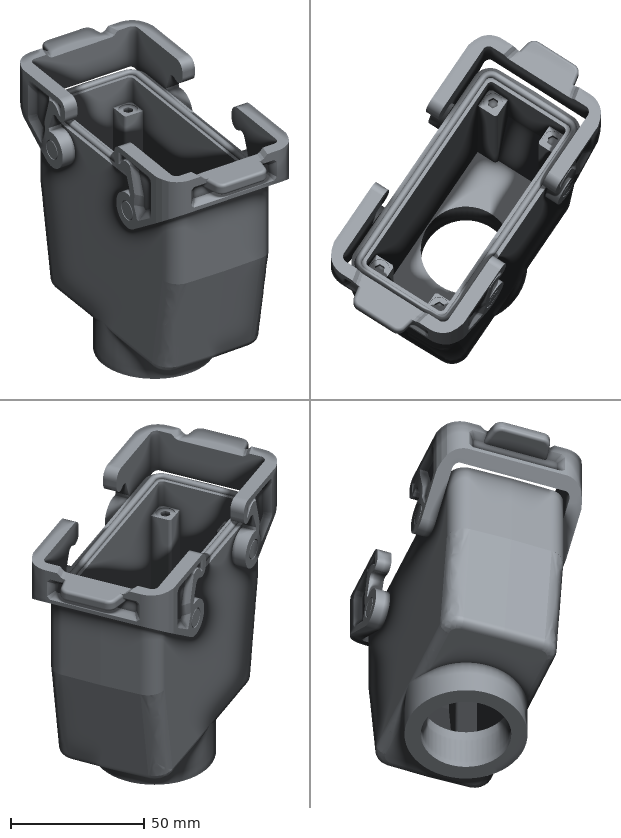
import cadquery as cq
import math

BODY_HALF_X = 48.4
BODY_CROWN = 0.5
BODY_HALF_Y = 23.1
BODY_BOTTOM_Z = 14.9
BODY_KNEE_Z = 58.2
BODY_TOP_Z = 91.0
BODY_TAPER = math.tan(math.radians(10))
BODY_CORNER_R = 7.0
BODY_BOTTOM_R = 3.6
BODY_BOTTOM_HALF_X = BODY_HALF_X - (BODY_KNEE_Z - BODY_BOTTOM_Z) * BODY_TAPER

CAVITY_HALF_X = 42.8
CAVITY_HALF_Y = 17.4
CAVITY_CORNER_R = 1.7
FLOOR_THICKNESS = 3.7
FLOOR_Z = BODY_BOTTOM_Z + FLOOR_THICKNESS
FLOOR_HALF_X = CAVITY_HALF_X - (BODY_KNEE_Z - FLOOR_Z) * BODY_TAPER
BEAD_WIDTH = 2.7
BEAD_INSET = 1.4
BEAD_HEIGHT = 1.4
BEAD_CORNER_R = 5.0
BEAD_TOP_R = 1.18

POST_SIZE = 8.0
POST_TOP_Z = 80.0
POST_OVERLAP = 2.5
POST_DRAFT = 0.3
POST_CORNER_R = 1.1
SCREW_R = 3.7
SCREW_RECESS = 0.4
SOCKET_DIAMETER = 4.1
SOCKET_DEPTH = 2.5
SOCKET_TURN = 30

NOZZLE_R = BODY_HALF_Y
NOZZLE_BORE_R = 17.0

LEVER_TOP_Z = 107.9
LEVER_END_X = 54.8
LEVER_END_WALL = 4.8
LEVER_HALF_Y = 29.0
LEVER_INNER_HALF_Y = 23.4
LEVER_OUTER_R = 9.2
LEVER_CORNER_FLATS = ((8.9, 0), (6.1, 0.9), (3.6, 2.1))
LEVER_INNER_R = 2.5
LEVER_END_BOTTOM_Z = 93.6
PIVOT_X = 25.9
PIVOT_Z = 82.8
PIVOT_EYE_R = 7.5
PIN_R = 4.0
PIN_GROOVE_WIDTH = 0.4
PIN_GROOVE_DEPTH = 0.6
HOOK_TIP_X = 17.0
HOOK_BOTTOM_Z = 98.0
HOOK_TOP_R = 4.0
HOOK_BOTTOM_R = 3.5
THROAT_FRONT = (22.2, 98.6)
THROAT_CROWN = (23.9, 99.1)
THROAT_BACK = (25.5, 98.0)
THROAT_FOOT = (28.1, 91.3)

TAB_TIP_X = 62.0
TAB_TOP_Z = 105.9
TAB_THICKNESS = 4.6
TAB_ROOT_HALF_Y = 13.3
TAB_TIP_HALF_Y = 10.8
TAB_CORNER_R = 3.5
TAB_EDGE_R = 1.2
NOTCH_OUTER_HALF_Y = 12.3
NOTCH_INNER_HALF_Y = 13.4
NOTCH_FLARE = 2.6
NOTCH_TOE_RUN = 1.1
NOTCH_TOE_RISE = 0.5

SIDE_POCKET_DEPTH = 2.2
SIDE_POCKET_CORNER_R = 4.3
ARM_POCKET_DEPTH = 1.1
MAIN_RIM = [
    (42.4, 105.4), (27.8, 105.4), (27.8, 103.7), (31.0, 92.5),
    (30.5, 87.5), (32.7, 82.2), (33.6, 82.2), (42.4, 88.0),
]
MAIN_FLOOR = [
    (39.2, 102.2), (30.5, 102.2), (30.9, 101.2), (34.1, 92.5),
    (34.1, 87.9), (35.0, 87.2), (35.5, 87.2), (39.2, 89.9),
]
ARM_RIM = [
    (27.9, 105.4), (19.8, 105.4), (19.8, 100.3), (20.7, 100.5),
    (22.1, 102.2), (23.5, 103.5), (25.4, 104.2), (27.9, 103.5),
]
ARM_FLOOR = [
    (27.9, 104.9), (21.1, 104.4), (20.7, 102.7), (21.3, 102.5),
    (22.5, 103.5), (23.8, 104.3), (25.4, 104.7), (27.9, 104.4),
]
END_POCKET_DEPTH = 2.4
END_POCKET_HALF_Y = 19.1
END_POCKET_TOP_Z = 104.3
END_POCKET_BOTTOM_Z = 95.2
END_POCKET_BEVEL = 1.2


def both_ends(solid):
    """Add the mirror image across the YZ plane."""
    return solid.union(solid.mirror("YZ"))


def both_sides(solid):
    """Add the mirror image across the XZ plane."""
    return solid.union(solid.mirror("XZ"))


def rounded_block(half_x, half_y, bottom_z, top_z, radius):
    block = cq.Workplane("XY", origin=(0, 0, bottom_z)).rect(2 * half_x, 2 * half_y)
    return block.extrude(top_z - bottom_z).edges("|Z").fillet(radius)


def drafted_pocket(plane, rim, floor, depth):
    """Pocket tool between a rim outline on the plane and a floor outline below it."""
    tool = cq.Workplane(plane).polyline(rim).close()
    return tool.workplane(offset=-depth).polyline(floor).close().loft(ruled=True)


def body_half_section(half_x):
    """The -Y half of the section, whose end faces fall back from a ridge at Y = 0."""
    corner_x = half_x - BODY_CROWN
    return [(half_x, 0), (corner_x, -BODY_HALF_Y), (-corner_x, -BODY_HALF_Y), (-half_x, 0)]


def body_half_stage(bottom_half_x, bottom_z, top_half_x, top_z):
    """One stage of the -Y half of the outer body with its two upright corners rounded."""
    stage = (
        cq.Workplane("XY", origin=(0, 0, bottom_z))
        .polyline(body_half_section(bottom_half_x)).close()
        .workplane(offset=top_z - bottom_z)
        .polyline(body_half_section(top_half_x)).close()
        .loft(ruled=True)
    )
    upright_corners = stage.faces("<Y").edges("not |X")
    return upright_corners.fillet(BODY_CORNER_R)


def make_body():
    lower = body_half_stage(BODY_BOTTOM_HALF_X, BODY_BOTTOM_Z, BODY_HALF_X, BODY_KNEE_Z)
    lower = lower.faces("<Z").edges("not >Y").fillet(BODY_BOTTOM_R)
    upper = body_half_stage(BODY_HALF_X, BODY_KNEE_Z, BODY_HALF_X, BODY_TOP_Z)
    nozzle = cq.Workplane("XY").circle(NOZZLE_R).extrude(BODY_BOTTOM_Z + BODY_BOTTOM_R)
    return both_sides(lower.union(upper)).union(nozzle)


def make_cavity():
    profile = [
        (-FLOOR_HALF_X, FLOOR_Z),
        (FLOOR_HALF_X, FLOOR_Z),
        (CAVITY_HALF_X, BODY_KNEE_Z),
        (CAVITY_HALF_X, LEVER_TOP_Z),
        (-CAVITY_HALF_X, LEVER_TOP_Z),
        (-CAVITY_HALF_X, BODY_KNEE_Z),
    ]
    cavity = cq.Workplane("XZ").polyline(profile).close().extrude(CAVITY_HALF_Y, both=True)
    return cavity.intersect(
        rounded_block(CAVITY_HALF_X, CAVITY_HALF_Y, FLOOR_Z, LEVER_TOP_Z, CAVITY_CORNER_R)
    )


def make_bead():
    inner_x = CAVITY_HALF_X + BEAD_INSET
    inner_y = CAVITY_HALF_Y + BEAD_INSET
    top_z = BODY_TOP_Z + BEAD_HEIGHT
    inner_r = BEAD_CORNER_R - BEAD_WIDTH
    loop = rounded_block(inner_x + BEAD_WIDTH, inner_y + BEAD_WIDTH, BODY_TOP_Z, top_z, BEAD_CORNER_R)
    loop = loop.cut(rounded_block(inner_x, inner_y, BODY_TOP_Z, top_z, inner_r))
    return loop.faces(">Z").edges().fillet(BEAD_TOP_R)


def make_posts(cavity):
    """Four corner posts, each with a recessed socket screw in its top."""
    centre_x = CAVITY_HALF_X - POST_SIZE / 2
    centre_y = CAVITY_HALF_Y - POST_SIZE / 2
    side = POST_SIZE + POST_OVERLAP
    shift = POST_OVERLAP / 2
    outline = cq.Sketch().rect(side, side).vertices().fillet(POST_CORNER_R)
    post = (
        cq.Workplane("XY", origin=(centre_x + shift, centre_y + shift, POST_TOP_Z))
        .placeSketch(outline).extrude(-(POST_TOP_Z - FLOOR_Z), taper=-POST_DRAFT)
        .intersect(cavity)
    )
    top = cq.Workplane("XY", origin=(centre_x, centre_y, POST_TOP_Z))
    recess = top.circle(SCREW_R).extrude(-SCREW_RECESS)
    socket = top.transformed(rotate=(0, 0, SOCKET_TURN)).polygon(6, SOCKET_DIAMETER).extrude(-SOCKET_DEPTH)
    return both_sides(both_ends(post.cut(recess).cut(socket)))


def lever_plan():
    """Outer and inner walls of the levers seen from above, before the side profile is trimmed."""
    first_flat, second_flat, arc_start = LEVER_CORNER_FLATS
    outer_half = (
        cq.Workplane("XY")
        .moveTo(0, 0)
        .lineTo(0, -LEVER_HALF_Y)
        .lineTo(LEVER_END_X - first_flat[0], first_flat[1] - LEVER_HALF_Y)
        .lineTo(LEVER_END_X - second_flat[0], second_flat[1] - LEVER_HALF_Y)
        .lineTo(LEVER_END_X - arc_start[0], arc_start[1] - LEVER_HALF_Y)
        .radiusArc((LEVER_END_X, LEVER_OUTER_R - LEVER_HALF_Y), -LEVER_OUTER_R)
        .lineTo(LEVER_END_X, 0)
        .close()
        .extrude(LEVER_TOP_Z)
    )
    inner = rounded_block(
        LEVER_END_X - LEVER_END_WALL, LEVER_INNER_HALF_Y, 0, LEVER_TOP_Z, LEVER_INNER_R
    )
    return both_sides(outer_half).cut(inner)


def lever_profile():
    """Side profile of the lever at +X: hook, throat, pivot eye and sloping underside."""
    drop = LEVER_END_BOTTOM_Z - PIVOT_Z
    run = LEVER_END_X - PIVOT_X
    tangent_angle = math.atan2(drop, run) - math.acos(PIVOT_EYE_R / math.hypot(drop, run))
    tangent_point = (
        PIVOT_X + PIVOT_EYE_R * math.cos(tangent_angle),
        PIVOT_Z + PIVOT_EYE_R * math.sin(tangent_angle),
    )
    arm = (
        cq.Workplane("XZ")
        .moveTo(LEVER_END_X, LEVER_TOP_Z)
        .lineTo(HOOK_TIP_X + HOOK_TOP_R, LEVER_TOP_Z)
        .radiusArc((HOOK_TIP_X, LEVER_TOP_Z - HOOK_TOP_R), -HOOK_TOP_R)
        .lineTo(HOOK_TIP_X, HOOK_BOTTOM_Z + HOOK_BOTTOM_R)
        .radiusArc((HOOK_TIP_X + HOOK_BOTTOM_R, HOOK_BOTTOM_Z), -HOOK_BOTTOM_R)
        .lineTo(*THROAT_FRONT)
        .threePointArc(THROAT_CROWN, THROAT_BACK)
        .lineTo(*THROAT_FOOT)
        .lineTo(PIVOT_X, PIVOT_Z)
        .lineTo(*tangent_point)
        .lineTo(LEVER_END_X, LEVER_END_BOTTOM_Z)
        .close()
        .extrude(LEVER_HALF_Y, both=True)
    )
    eye = cq.Workplane("XZ").center(PIVOT_X, PIVOT_Z).circle(PIVOT_EYE_R)
    return arm.union(eye.extrude(LEVER_HALF_Y, both=True))


def make_side_pockets():
    """Pockets in both long faces of the lever at +X: a main well and a shallow hook arm."""
    plane = cq.Plane.named("XZ", origin=(0, -LEVER_HALF_Y, 0))
    main = drafted_pocket(plane, MAIN_RIM, MAIN_FLOOR, SIDE_POCKET_DEPTH)
    for (rim_x, rim_z), (floor_x, floor_z) in (
        (MAIN_RIM[0], MAIN_FLOOR[0]),
        (MAIN_RIM[-1], MAIN_FLOOR[-1]),
    ):
        middle = ((rim_x + floor_x) / 2, SIDE_POCKET_DEPTH / 2 - LEVER_HALF_Y, (rim_z + floor_z) / 2)
        corner = cq.selectors.NearestToPointSelector(middle)
        main = main.edges(corner).fillet(SIDE_POCKET_CORNER_R)
    arm = drafted_pocket(plane, ARM_RIM, ARM_FLOOR, ARM_POCKET_DEPTH)
    return both_sides(main.union(arm))


def bevelled_rectangle(half_width, bottom, top, bevel):
    return [
        (half_width - bevel, bottom),
        (half_width, bottom + bevel),
        (half_width, top - bevel),
        (half_width - bevel, top),
        (bevel - half_width, top),
        (-half_width, top - bevel),
        (-half_width, bottom + bevel),
        (bevel - half_width, bottom),
    ]


def make_end_pocket():
    """Pocket under the finger tab, with 45 degree walls."""
    depth = END_POCKET_DEPTH
    rim = bevelled_rectangle(
        END_POCKET_HALF_Y, END_POCKET_BOTTOM_Z, END_POCKET_TOP_Z, END_POCKET_BEVEL
    )
    floor = bevelled_rectangle(
        END_POCKET_HALF_Y - depth,
        END_POCKET_BOTTOM_Z + depth,
        END_POCKET_TOP_Z - depth,
        END_POCKET_BEVEL / 2,
    )
    return drafted_pocket(cq.Plane.named("YZ", origin=(LEVER_END_X, 0, 0)), rim, floor, depth)


def notch_section(bottom_half_y):
    toe_half_y = bottom_half_y + NOTCH_TOE_RUN
    top_half_y = bottom_half_y + NOTCH_FLARE
    toe_z = TAB_TOP_Z + NOTCH_TOE_RISE
    flank = [(bottom_half_y, TAB_TOP_Z), (toe_half_y, toe_z), (top_half_y, LEVER_TOP_Z)]
    return flank + [(-y, z) for y, z in reversed(flank)]


def make_notch():
    """Flared gap in the top of the end wall, wider on the inside."""
    plane = cq.Plane.named("YZ", origin=(LEVER_END_X, 0, 0))
    return drafted_pocket(
        plane, notch_section(NOTCH_OUTER_HALF_Y), notch_section(NOTCH_INNER_HALF_Y), LEVER_END_WALL
    )


def make_tab():
    root_x = LEVER_END_X - LEVER_END_WALL
    outline = [
        (root_x, TAB_ROOT_HALF_Y),
        (TAB_TIP_X, TAB_TIP_HALF_Y),
        (TAB_TIP_X, -TAB_TIP_HALF_Y),
        (root_x, -TAB_ROOT_HALF_Y),
    ]
    tab = (
        cq.Workplane("XY", origin=(0, 0, TAB_TOP_Z))
        .polyline(outline).close().extrude(-TAB_THICKNESS)
        .edges("|Z and >X").fillet(TAB_CORNER_R)
    )
    return tab.faces("<Z or >Z").edges("not <X").fillet(TAB_EDGE_R)


def make_pins():
    """Hinge pins reaching from inside the long walls into the lever eyes at +X."""
    wall_middle_y = (CAVITY_HALF_Y + BODY_HALF_Y) / 2
    length = LEVER_HALF_Y - PIN_GROOVE_DEPTH - wall_middle_y
    pin = cq.Workplane("XZ", origin=(PIVOT_X, -wall_middle_y, PIVOT_Z)).circle(PIN_R)
    return both_sides(pin.extrude(length))


def make_pin_grooves():
    """Shallow ring around each pin end on the lever face."""
    ring = cq.Workplane("XZ", origin=(PIVOT_X, -LEVER_HALF_Y, PIVOT_Z))
    ring = ring.circle(PIN_R).circle(PIN_R - PIN_GROOVE_WIDTH)
    return both_sides(ring.extrude(-PIN_GROOVE_DEPTH))


def make_lever():
    lever = lever_plan().intersect(lever_profile())
    lever = lever.cut(make_side_pockets()).cut(make_end_pocket()).cut(make_notch())
    return lever.cut(make_pin_grooves()).union(make_tab()).union(make_pins())


cavity = make_cavity()
bore = cq.Workplane("XY").circle(NOZZLE_BORE_R).extrude(BODY_KNEE_Z)
hood = make_body().cut(cavity).cut(bore)
hood = hood.union(make_bead()).union(make_posts(cavity))
result = hood.union(both_ends(make_lever()))